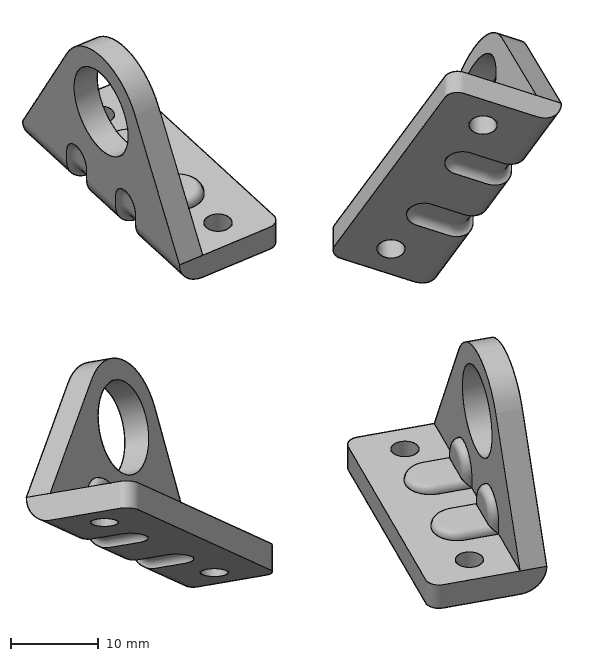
import cadquery as cq
import math

width = 32.0
depth = 14.0
height = 23.0
thickness = 3.2
base_corner_radius = 1.6

eye_outer_radius = 8.0
eye_hole_diameter = 11.0
eye_center_z = height - eye_outer_radius

mount_hole_diameter = 3.2
mount_hole_x = 12.0
mount_hole_y = 8.0

bead_x = 5.0
bead_height = 1.0
bead_half_width = 3.0
hollow_half_width = 2.0
bead_base_run = 4.0
bead_upright_run = 1.5
base_end_y = thickness + bead_base_run
upright_end_z = thickness + bead_upright_run


def make_base():
    arc_offset = thickness * (1 - math.sqrt(0.5))
    base = (
        cq.Workplane("YZ")
        .moveTo(thickness, 0)
        .lineTo(depth, 0)
        .lineTo(depth, thickness)
        .lineTo(0, thickness)
        .threePointArc((arc_offset, arc_offset), (thickness, 0))
        .close()
        .extrude(width / 2, both=True)
    )
    return base.edges("|Z and >Y").fillet(base_corner_radius)


def make_upright():
    half = width / 2
    drop = eye_center_z - thickness
    corner_distance = math.hypot(half, drop)
    tangent_angle = math.acos(eye_outer_radius / corner_distance) - math.atan2(drop, half)
    tangent_x = eye_outer_radius * math.cos(tangent_angle)
    tangent_z = eye_center_z + eye_outer_radius * math.sin(tangent_angle)
    return (
        cq.Workplane("XZ")
        .moveTo(-half, thickness)
        .lineTo(half, thickness)
        .lineTo(tangent_x, tangent_z)
        .threePointArc((0, height), (-tangent_x, tangent_z))
        .close()
        .extrude(-thickness)
    )


def half_section(half_width):
    flat = half_width - bead_height
    diagonal = bead_height * math.sqrt(0.5)
    return (
        cq.Workplane("XZ")
        .lineTo(half_width, 0)
        .threePointArc((flat + diagonal, diagonal), (flat, bead_height))
        .lineTo(0, bead_height)
        .close()
    )


def straight_bead(half_width, run):
    side = half_section(half_width).extrude(run)
    round_end = half_section(half_width).revolve(360, (0, 0), (0, 1))
    return side.union(side.mirror("YZ")).union(round_end)


def stand_up(bead):
    return bead.rotate((0, 0, 0), (1, 0, 0), 90).rotate((0, 0, 0), (0, 0, 1), 180)


def make_bead():
    base_run = straight_bead(bead_half_width, bead_base_run).translate((0, base_end_y, thickness))
    upright_run = stand_up(straight_bead(bead_half_width, bead_upright_run))
    return base_run.union(upright_run.translate((0, thickness, upright_end_z)))


def make_hollow():
    base_run = straight_bead(hollow_half_width, bead_base_run).translate((0, base_end_y, 0))
    upright_run = stand_up(straight_bead(hollow_half_width, bead_upright_run))
    upright_run = upright_run.translate((0, 0, upright_end_z))
    bend = half_section(hollow_half_width).revolve(90, (0, thickness), (-1, thickness))
    bend = bend.union(bend.mirror("YZ")).translate((0, thickness, 0))
    return base_run.union(bend).union(upright_run)


result = make_base().union(make_upright())
for x in (-bead_x, bead_x):
    result = result.union(make_bead().translate((x, 0, 0)))
    result = result.cut(make_hollow().translate((x, 0, 0)))

eye_hole = (
    cq.Workplane("XZ")
    .center(0, eye_center_z)
    .circle(eye_hole_diameter / 2)
    .extrude(-thickness)
)
mount_holes = (
    cq.Workplane("XY")
    .pushPoints([(-mount_hole_x, mount_hole_y), (mount_hole_x, mount_hole_y)])
    .circle(mount_hole_diameter / 2)
    .extrude(thickness)
)
result = result.cut(eye_hole).cut(mount_holes)